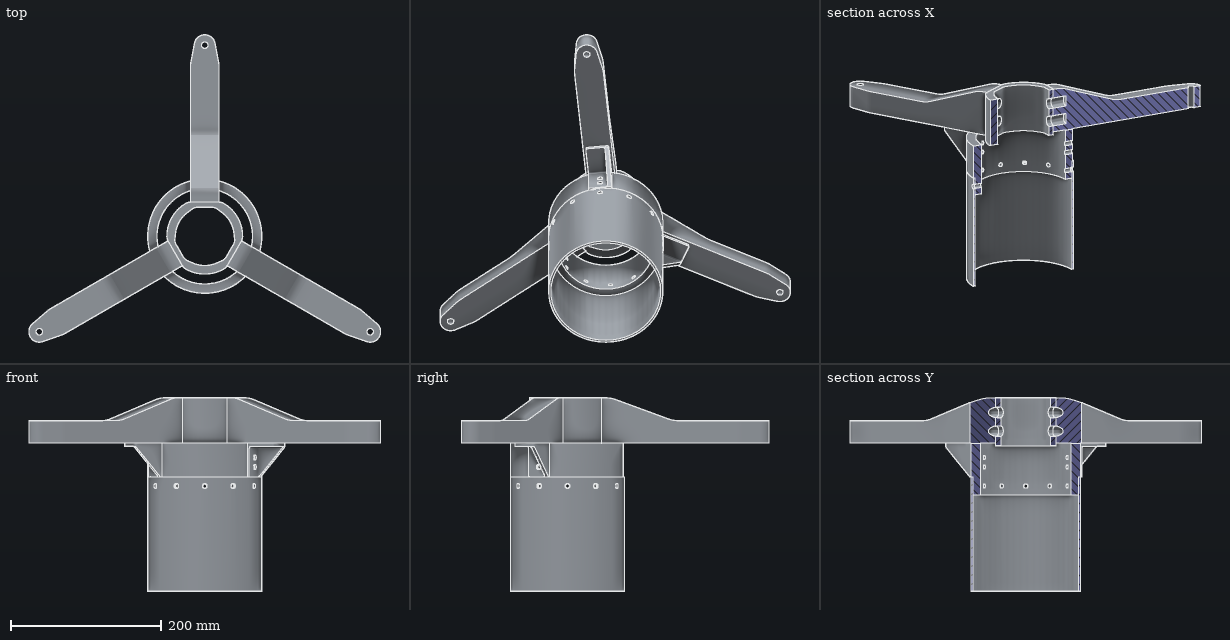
import cadquery as cq
import math

OVERALL_X = 468.5

ARM_ANGLES = [90, 210, 330]
ARM_SPACING = 120
BRACKET_ANGLES = [210, 330]

TUBE_OD = 152.3
TUBE_ID = 146.0
TUBE_HEIGHT = 152.3
TUBE_HOLE_DIA = 6.5
TUBE_HOLE_COUNT = 12
TUBE_HOLE_DROP = 12.0

RING_ID = 127.0
RING_HEIGHT = 45.0
SPIGOT_DEPTH = 2 * TUBE_HOLE_DROP
RING_FLAT_DISTANCE = 74.5
RING_HOLE_DIA = 5.0

HUB_OD = 101.0
HUB_ID = 78.0
HUB_HEIGHT = 64.0
HUB_FLAT_DISTANCE = 45.5
HUB_SEAT_DISTANCE = 38.5
HUB_BLEND = 11.5
BORE_RELIEF_ANGLE = 36.5
BOLT_HOLE_DIA = 13.5
BOLT_DROPS = [19.5, 44.5]
ARM_BOLT_DEPTH = 18.7

ARM_WIDTH = 38.5
ARM_HEIGHT = 60.5
ARM_TIP_HEIGHT = 30.0
ARM_TIP_RADIUS = 14.0
ARM_TAPER_START = 228.5
ARM_SLOPE_START = 57.5
ARM_SLOPE_END = 140.5
ARM_BLEND_RADIUS = 36.0
TIP_HOLE_DIA = 8.5

BRACKET_WIDTH = 31.0
BRACKET_REACH = 115.2
BRACKET_PLATE = 3.0
BRACKET_FLANGE = 4.0
BRACKET_WEB = 5.0
BRACKET_FILLET = 3.0
BRACKET_HOLE_DIA = 6.5
BRACKET_HOLE_DROPS = [19.0, 32.0]

RING_TOP = TUBE_HEIGHT + RING_HEIGHT
HUB_TOP = RING_TOP + ARM_HEIGHT
HUB_BOTTOM = HUB_TOP - HUB_HEIGHT
TUBE_HOLE_Z = TUBE_HEIGHT - TUBE_HOLE_DROP
TIP_HOLE_DISTANCE = (OVERALL_X - 2 * ARM_TIP_RADIUS) / (2 * math.cos(math.radians(ARM_ANGLES[-1])))


def place(shape, angle):
    """Turn a shape modelled along +X to the given angle about Z."""
    return shape.rotate((0, 0, 0), (0, 0, 1), angle)


def cylinder(diameter, z_low, z_high):
    return cq.Workplane("XY").workplane(offset=z_low).circle(diameter / 2).extrude(z_high - z_low)


def radial_hole(diameter, start, end, z):
    """Cutter along +X between two distances from the axis."""
    return cq.Workplane("YZ", origin=(start, 0, z)).circle(diameter / 2).extrude(end - start)


def outside_flat(distance, width, z_low, z_high):
    """Block beyond a plane at the given distance along +X, for cutting a flat."""
    return (
        cq.Workplane("XY")
        .box(width, width, z_high - z_low, centered=(False, True, False))
        .translate((distance, 0, z_low))
    )


def make_tube():
    tube = cylinder(TUBE_OD, 0, TUBE_HEIGHT).cut(cylinder(TUBE_ID, 0, TUBE_HEIGHT))
    hole = radial_hole(TUBE_HOLE_DIA, 0, TUBE_OD, TUBE_HOLE_Z)
    for index in range(TUBE_HOLE_COUNT):
        tube = tube.cut(place(hole, index * 360 / TUBE_HOLE_COUNT))
    return tube


def make_ring():
    spigot_bottom = TUBE_HEIGHT - SPIGOT_DEPTH
    ring = cylinder(TUBE_OD, TUBE_HEIGHT, RING_TOP)
    ring = ring.union(cylinder(TUBE_ID, spigot_bottom, TUBE_HEIGHT))
    ring = ring.cut(cylinder(RING_ID, spigot_bottom, RING_TOP))

    flat = outside_flat(RING_FLAT_DISTANCE, TUBE_OD, TUBE_HEIGHT, RING_TOP)
    for angle in ARM_ANGLES:
        ring = ring.cut(place(flat, angle))
        for drop in BRACKET_HOLE_DROPS:
            hole = radial_hole(RING_HOLE_DIA, 0, TUBE_OD, RING_TOP - drop)
            ring = ring.cut(place(hole, angle))

    hole = radial_hole(RING_HOLE_DIA, 0, TUBE_OD, TUBE_HOLE_Z)
    for index in range(TUBE_HOLE_COUNT):
        ring = ring.cut(place(hole, index * 360 / TUBE_HOLE_COUNT))
    return ring


def polar(radius, angle):
    return (radius * math.cos(math.radians(angle)), radius * math.sin(math.radians(angle)))


def hub_bore():
    """Bore cutter: a circle with a straight-sided, flat-topped relief at each arm."""
    bore_radius = HUB_ID / 2
    relief = math.radians(BORE_RELIEF_ANGLE)
    corner_offset = (bore_radius - HUB_SEAT_DISTANCE * math.cos(relief)) / math.sin(relief)
    corner_angle = math.degrees(math.atan2(corner_offset, HUB_SEAT_DISTANCE))
    corner_radius = math.hypot(corner_offset, HUB_SEAT_DISTANCE)
    outline = cq.Workplane("XY", origin=(0, 0, HUB_BOTTOM))
    outline = outline.moveTo(*polar(bore_radius, ARM_ANGLES[0] - BORE_RELIEF_ANGLE))
    for angle in ARM_ANGLES:
        outline = (
            outline.lineTo(*polar(corner_radius, angle - corner_angle))
            .lineTo(*polar(corner_radius, angle + corner_angle))
            .lineTo(*polar(bore_radius, angle + BORE_RELIEF_ANGLE))
            .threePointArc(
                polar(bore_radius, angle + ARM_SPACING / 2),
                polar(bore_radius, angle + ARM_SPACING - BORE_RELIEF_ANGLE),
            )
        )
    bore = outline.close().extrude(HUB_HEIGHT)
    for angle in ARM_ANGLES:
        for side in (-corner_angle, corner_angle):
            x, y = polar(corner_radius, angle + side)
            corner = cq.selectors.NearestToPointSelector((x, y, HUB_BOTTOM + HUB_HEIGHT / 2))
            bore = bore.edges("|Z").edges(corner).fillet(HUB_BLEND)
    return bore


def make_hub():
    hub = cylinder(HUB_OD, HUB_BOTTOM, HUB_TOP)
    flat = outside_flat(HUB_FLAT_DISTANCE, HUB_OD, HUB_BOTTOM, HUB_TOP)
    for angle in ARM_ANGLES:
        hub = hub.cut(place(flat, angle))
    hub = hub.edges("|Z").fillet(HUB_BLEND).cut(hub_bore())
    for angle in ARM_ANGLES:
        for drop in BOLT_DROPS:
            hole = radial_hole(BOLT_HOLE_DIA, 0, HUB_OD, HUB_TOP - drop)
            hub = hub.cut(place(hole, angle))
    return hub


def round_corners(shape, direction, x_low, x_high):
    """Blend the edges in one direction that lie from x_low to x_high along the arm."""
    margin = 0.5
    span = cq.selectors.BoxSelector(
        (x_low - margin, -ARM_WIDTH, RING_TOP - margin),
        (x_high + margin, ARM_WIDTH, HUB_TOP + margin),
    )
    return shape.edges(direction).edges(span).fillet(ARM_BLEND_RADIUS)


def arm_plan():
    """Arm outline seen along Z: straight sides, a taper and a round tip."""
    half_width = ARM_WIDTH / 2
    taper_length = TIP_HOLE_DISTANCE - ARM_TAPER_START
    taper_angle = math.atan2(half_width, taper_length) - math.asin(
        ARM_TIP_RADIUS / math.hypot(half_width, taper_length)
    )
    tangent_x = TIP_HOLE_DISTANCE + ARM_TIP_RADIUS * math.sin(taper_angle)
    tangent_y = ARM_TIP_RADIUS * math.cos(taper_angle)
    plan = (
        cq.Workplane("XY", origin=(0, 0, RING_TOP))
        .moveTo(HUB_FLAT_DISTANCE, -half_width)
        .lineTo(ARM_TAPER_START, -half_width)
        .lineTo(tangent_x, -tangent_y)
        .threePointArc((TIP_HOLE_DISTANCE + ARM_TIP_RADIUS, 0), (tangent_x, tangent_y))
        .lineTo(ARM_TAPER_START, half_width)
        .lineTo(HUB_FLAT_DISTANCE, half_width)
        .close()
        .extrude(ARM_HEIGHT)
    )
    return round_corners(plan, "|Z", ARM_TAPER_START, ARM_TAPER_START)


def arm_profile():
    """Arm outline seen from its side: tall at the hub, sloping to a low tip."""
    tip_end = TIP_HOLE_DISTANCE + ARM_TIP_RADIUS
    tip_top = RING_TOP + ARM_TIP_HEIGHT
    profile = (
        cq.Workplane("XZ")
        .moveTo(HUB_FLAT_DISTANCE, RING_TOP)
        .lineTo(tip_end, RING_TOP)
        .lineTo(tip_end, tip_top)
        .lineTo(ARM_SLOPE_END, tip_top)
        .lineTo(ARM_SLOPE_START, HUB_TOP)
        .lineTo(HUB_FLAT_DISTANCE, HUB_TOP)
        .close()
        .extrude(ARM_WIDTH / 2, both=True)
    )
    return round_corners(profile, "|Y", ARM_SLOPE_START, ARM_SLOPE_END)


def make_arm(angle):
    arm = arm_plan().intersect(arm_profile())
    tip_hole = cylinder(TIP_HOLE_DIA, RING_TOP, HUB_TOP).translate((TIP_HOLE_DISTANCE, 0, 0))
    arm = arm.cut(tip_hole)
    bolt_end = HUB_FLAT_DISTANCE + ARM_BOLT_DEPTH
    for drop in BOLT_DROPS:
        arm = arm.cut(radial_hole(BOLT_HOLE_DIA, 0, bolt_end, HUB_TOP - drop))
    return place(arm, angle)


def make_bracket(angle):
    """Angle bracket: plate on the ring flat, flange under the arm, side web."""
    plate_face = RING_FLAT_DISTANCE + BRACKET_PLATE
    flange_bottom = RING_TOP - BRACKET_FLANGE
    half_width = BRACKET_WIDTH / 2
    bracket = (
        cq.Workplane("XZ")
        .moveTo(RING_FLAT_DISTANCE, TUBE_HEIGHT)
        .lineTo(plate_face, TUBE_HEIGHT)
        .lineTo(BRACKET_REACH, flange_bottom)
        .lineTo(BRACKET_REACH, RING_TOP)
        .lineTo(RING_FLAT_DISTANCE, RING_TOP)
        .close()
        .extrude(half_width, both=True)
    )
    hollow = (
        cq.Workplane("XY")
        .box(BRACKET_REACH, BRACKET_WIDTH, RING_HEIGHT, centered=(False, False, False))
        .translate((plate_face, half_width - BRACKET_WEB - BRACKET_WIDTH, flange_bottom - RING_HEIGHT))
    )
    hollow = hollow.edges("(|Z and <X and >Y) or (|Y and <X and >Z) or (|X and >Y and >Z)")
    hollow = hollow.fillet(BRACKET_FILLET)
    bracket = bracket.cut(hollow).edges("|Z and >X").fillet(BRACKET_FILLET)
    for drop in BRACKET_HOLE_DROPS:
        bracket = bracket.cut(radial_hole(BRACKET_HOLE_DIA, 0, plate_face, RING_TOP - drop))
    return place(bracket, angle)


tube = make_tube()
ring = make_ring()
hub = make_hub()
arms = [make_arm(angle) for angle in ARM_ANGLES]
brackets = [make_bracket(angle) for angle in BRACKET_ANGLES]

result = cq.Compound.makeCompound(
    [tube.val(), ring.val(), hub.val()]
    + [arm.val() for arm in arms]
    + [bracket.val() for bracket in brackets]
)